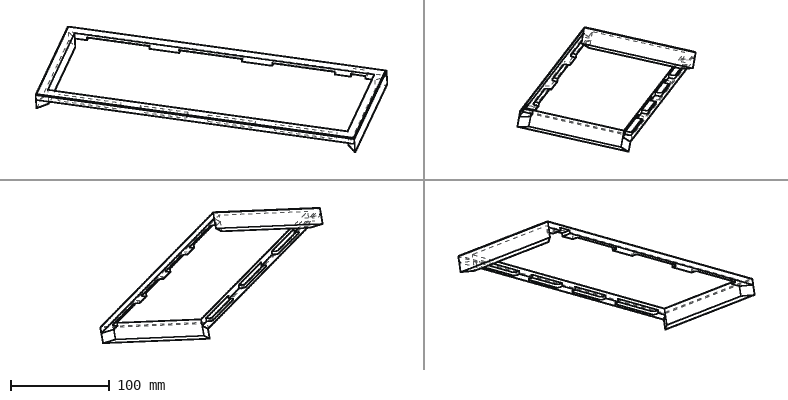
import cadquery as cq

LENGTH = 336.3
DEPTH = 116.7
SIDE_HEIGHT = 17.8
TILT_ANGLE = 10.0

RAIL_WIDTH = 10.0
RAIL_HEIGHT = 7.0
EDGE_CHAMFER = 0.9

RECESS_HEIGHT = 3.5
RECESS_DEPTH = 6.0
RECESS_RADIUS = 3.0

BACK_RECESSES = [(-145.3, -79.5), (-48.0, 18.0), (50.0, 116.0)]
FRONT_RIGHT_RECESSES = [(10.8, 60.5), (81.5, 147.0)]

CABLE_START = 133.0
CABLE_END = 148.3

HALF_LENGTH = LENGTH / 2
HALF_DEPTH = DEPTH / 2
INNER_HALF_LENGTH = HALF_LENGTH - RAIL_WIDTH
INNER_HALF_DEPTH = HALF_DEPTH - RAIL_WIDTH
RAIL_BOTTOM = SIDE_HEIGHT - RAIL_HEIGHT


def make_frame():
    """Rectangular frame with its outer top edges chamfered."""
    block = cq.Workplane("XY").box(LENGTH, DEPTH, SIDE_HEIGHT, centered=(True, True, False))
    block = block.faces(">Z").edges().chamfer(EDGE_CHAMFER)
    opening = cq.Workplane("XY").rect(2 * INNER_HALF_LENGTH, 2 * INNER_HALF_DEPTH).extrude(SIDE_HEIGHT)
    return block.cut(opening)


def make_rail_clearance(side):
    """Space below the front (side -1) or back (side 1) rail, mitred at both corners."""
    outline = [
        (-HALF_LENGTH, side * HALF_DEPTH),
        (HALF_LENGTH, side * HALF_DEPTH),
        (INNER_HALF_LENGTH, side * INNER_HALF_DEPTH),
        (-INNER_HALF_LENGTH, side * INNER_HALF_DEPTH),
    ]
    return cq.Workplane("XY").polyline(outline).close().extrude(RAIL_BOTTOM)


def make_recess(start, end, side):
    """Recess with rounded floor corners in the inner face of the front (-1) or back (1) rail."""
    mouth = side * INNER_HALF_DEPTH
    floor = side * (INNER_HALF_DEPTH + RECESS_DEPTH)
    outline = [(start, mouth), (end, mouth), (end, floor), (start, floor)]
    pocket = cq.Workplane("XY", origin=(0, 0, RAIL_BOTTOM)).polyline(outline).close().extrude(RECESS_HEIGHT)
    floor_corners = pocket.faces(">Y" if side > 0 else "<Y").edges("|Z")
    return floor_corners.fillet(RECESS_RADIUS)


def make_cable_opening():
    """Square-ended opening through the back rail, as high as the recesses."""
    width = CABLE_END - CABLE_START
    cutter = cq.Workplane("XY").box(width, RAIL_WIDTH, RECESS_HEIGHT, centered=False)
    return cutter.translate((CABLE_START, INNER_HALF_DEPTH, RAIL_BOTTOM))


frame = make_frame()
for rail_side in (-1, 1):
    frame = frame.cut(make_rail_clearance(rail_side))

for start, end in BACK_RECESSES:
    frame = frame.cut(make_recess(start, end, 1))

for start, end in FRONT_RIGHT_RECESSES:
    frame = frame.cut(make_recess(start, end, -1))
    frame = frame.cut(make_recess(-end, -start, -1))

frame = frame.cut(make_cable_opening())

result = frame.rotate((0, 0, 0), (1, 0, 0), TILT_ANGLE)